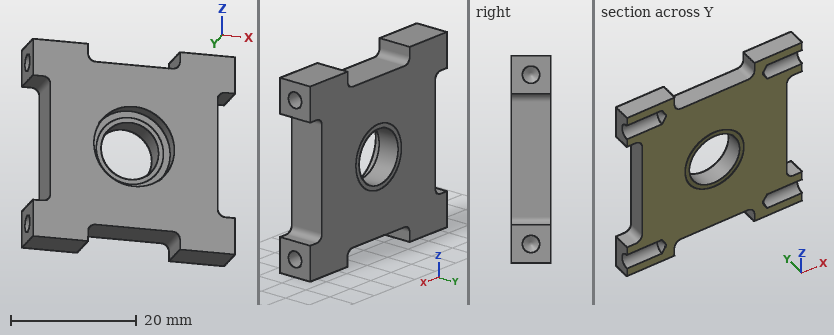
import cadquery as cq
import math

width = 33.53
height = 33.03
thickness = 6.35

notch_depth = 2.9
end_notch_length = 15.22
side_notch_length = 20.82
notch_radius = 1.25

counterbore_diameter = 13.35
counterbore_depth = 2.38
bushing_outer_diameter = 11.13
bushing_inner_diameter = 9.52
bushing_length = thickness - counterbore_depth

screw_hole_diameter = 2.75
screw_hole_depth = 6.7
drill_point_angle = 118.0
lug_height = (height - side_notch_length) / 2
screw_hole_z = (height - lug_height) / 2

front_y = -thickness / 2
counterbore_floor_y = front_y + counterbore_depth


def y_cylinder(diameter, start_y, length):
    """Cylinder on the bore axis, running from start_y toward +Y."""
    return cq.Workplane("XZ", origin=(0, start_y, 0)).circle(diameter / 2).extrude(-length)


def notch_pair(size_x, size_z, offset_x, offset_z):
    """Two opposite notch cutters, centred on the edges of the block."""
    return (
        cq.Workplane("XZ")
        .pushPoints([(offset_x, offset_z), (-offset_x, -offset_z)])
        .rect(size_x, size_z)
        .extrude(thickness, both=True)
        .edges("|Y")
        .fillet(notch_radius)
    )


def screw_hole(side, z):
    """Drilled hole with a conical end, entering from the -X or +X face."""
    radius = screw_hole_diameter / 2
    point_length = radius / math.tan(math.radians(drill_point_angle / 2))
    mouth_x = side * width / 2
    floor_x = mouth_x - side * screw_hole_depth
    tip_x = floor_x - side * point_length
    return (
        cq.Workplane("XY", origin=(0, 0, z))
        .polyline([(mouth_x, 0), (mouth_x, radius), (floor_x, radius), (tip_x, 0)])
        .close()
        .revolve(360, (0, 0, 0), (1, 0, 0))
    )


def make_housing():
    block = cq.Workplane("XY").box(width, thickness, height)
    block = block.cut(notch_pair(end_notch_length, 2 * notch_depth, 0, height / 2))
    block = block.cut(notch_pair(2 * notch_depth, side_notch_length, width / 2, 0))
    block = block.cut(y_cylinder(counterbore_diameter, front_y, counterbore_depth))
    block = block.cut(y_cylinder(bushing_outer_diameter, counterbore_floor_y, bushing_length))
    for side in (-1, 1):
        for z in (-screw_hole_z, screw_hole_z):
            block = block.cut(screw_hole(side, z))
    return block


def make_bushing():
    sleeve = y_cylinder(bushing_outer_diameter, counterbore_floor_y, bushing_length)
    return sleeve.cut(y_cylinder(bushing_inner_diameter, counterbore_floor_y, bushing_length))


housing = make_housing()
bushing = make_bushing()
result = cq.Compound.makeCompound([housing.val(), bushing.val()])